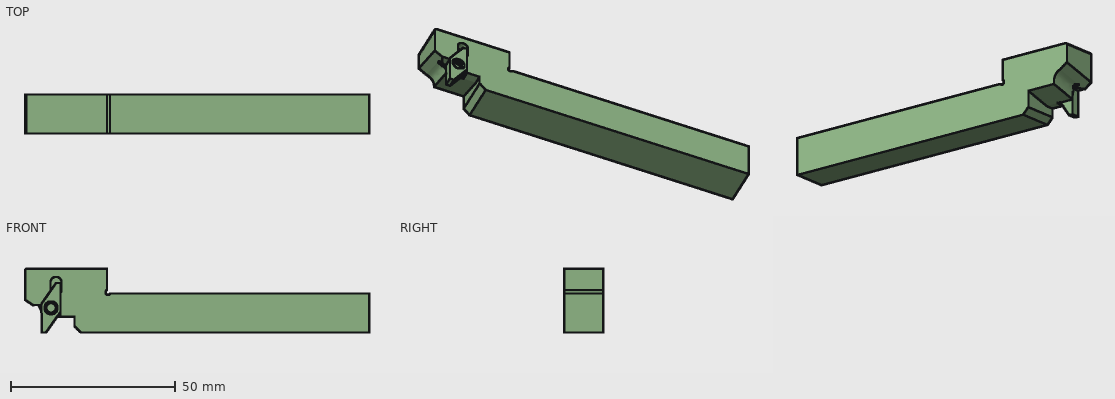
import cadquery as cq
import math

LENGTH = 105.0
THICKNESS = 12.0
HEAD_HEIGHT = 19.5
HEAD_LENGTH = 25.0
SHANK_HEIGHT = THICKNESS
NOSE_CHAMFER = 0.4
CORNER_RELIEF_RADIUS = 0.7
CORNER_RELIEF_OFFSET = 0.3

CLEARANCE_ANGLE = 15.0
NOSE_EDGE_Z = 10.0
LEDGE_X = 2.6
LEDGE_Z = 8.4
COVE_RADIUS = 3.5
NOTCH_Z = 4.8
NOTCH_WALL_X = 15.0
SHANK_CHAMFER = 2.0

INSERT_LEFT = 5.0
INSERT_RIGHT = 10.8
INSERT_HEIGHT = 15.1
INSERT_THICKNESS = 2.8
CUTTING_EDGE = 1.4
FLANK_HEIGHT = 6.3
HOLE_RADIUS = 1.5
SINK_RADIUS = 2.0
SINK_DEPTH = 0.5
HOLE_DEPTH = 1.6

TIP_RECESS_X = 9.5
TIP_RECESS_RADIUS = 1.7
TIP_RECESS_TOP_Z = 15.3
TIP_RECESS_BOTTOM_Z = 13.1

SEAT_ROUND_RADIUS = 0.8

RISE = math.tan(math.radians(CLEARANCE_ANGLE))


def front_sketch():
    """Sketch plane on the front face, with its normal toward the back (+Y) and Z up."""
    return cq.Workplane(cq.Plane(origin=(0, 0, 0), xDir=(-1, 0, 0), normal=(0, 1, 0)))


def front_point(x, z):
    return (-x, z)


def front_prism(points, depth):
    """Prism with the given XZ corners, from the front face back to the given depth."""
    return front_sketch().polyline([front_point(x, z) for x, z in points]).close().extrude(depth)


def front_box(x_min, x_max, z_min, z_max, depth):
    corners = [(x_min, z_min), (x_max, z_min), (x_max, z_max), (x_min, z_max)]
    return front_prism(corners, depth)


def front_cylinder(x, z, radius, depth):
    return front_sketch().center(*front_point(x, z)).circle(radius).extrude(depth)


def make_blank():
    """Head and shank with the nose chamfer and the relief groove behind the head."""
    outline = [
        (0, 0),
        (LENGTH, 0),
        (LENGTH, SHANK_HEIGHT),
        (HEAD_LENGTH, SHANK_HEIGHT),
        (HEAD_LENGTH, HEAD_HEIGHT),
        (NOSE_CHAMFER, HEAD_HEIGHT),
        (0, HEAD_HEIGHT - NOSE_CHAMFER),
    ]
    groove = front_cylinder(
        HEAD_LENGTH + CORNER_RELIEF_OFFSET,
        SHANK_HEIGHT + CORNER_RELIEF_OFFSET,
        CORNER_RELIEF_RADIUS,
        THICKNESS,
    )
    return front_prism(outline, THICKNESS).cut(groove)


def make_clearance():
    """Space under the head, swept backward and upward at the clearance angle."""
    floor_z = NOTCH_Z - INSERT_THICKNESS * RISE
    cove_x = INSERT_LEFT - COVE_RADIUS
    cove_z = LEDGE_Z - COVE_RADIUS
    below = -HEAD_HEIGHT
    outside = -LEDGE_X
    start_z = cove_z + math.sqrt(COVE_RADIUS**2 - (LEDGE_X - cove_x) ** 2)
    middle = math.atan2(start_z - cove_z, LEDGE_X - cove_x) / 2
    slope = (NOSE_EDGE_Z - start_z) / LEDGE_X
    profile = (
        cq.Workplane("XZ")
        .moveTo(outside, NOSE_EDGE_Z - slope * outside)
        .lineTo(LEDGE_X, start_z)
        .threePointArc(
            (cove_x + COVE_RADIUS * math.cos(middle), cove_z + COVE_RADIUS * math.sin(middle)),
            (INSERT_LEFT, cove_z),
        )
        .lineTo(INSERT_LEFT, floor_z)
        .lineTo(NOTCH_WALL_X, floor_z)
        .lineTo(NOTCH_WALL_X, below)
        .lineTo(outside, below)
        .close()
        .val()
    )
    sweep = cq.Vector(0, THICKNESS, THICKNESS * RISE)
    return cq.Workplane(cq.Solid.extrudeLinear(profile, [], sweep))


def make_front_clearance():
    """Level space in front of the seat: left of the insert and under the notch."""
    ledge = front_box(LEDGE_X, INSERT_LEFT, 0, LEDGE_Z, INSERT_THICKNESS)
    notch = front_box(INSERT_LEFT, NOTCH_WALL_X, 0, NOTCH_Z, INSERT_THICKNESS)
    return ledge.union(notch)


def make_seat_round():
    """Material outside the vertical round on the front left edge of the seat."""
    r = SEAT_ROUND_RADIUS
    top_z = LEDGE_Z + INSERT_THICKNESS * RISE
    corner = cq.Workplane("XY").box(INSERT_LEFT - LEDGE_X, r, top_z, centered=False)
    corner = corner.translate((LEDGE_X, INSERT_THICKNESS, 0))
    post = cq.Workplane("XY").center(INSERT_LEFT, INSERT_THICKNESS + r).circle(r).extrude(top_z)
    return corner.cut(post)


def make_shank_chamfer():
    c = SHANK_CHAMFER
    return front_prism([(NOTCH_WALL_X, 0), (NOTCH_WALL_X + c, 0), (NOTCH_WALL_X, c)], THICKNESS)


def make_insert_blank():
    outline = [
        (INSERT_LEFT, 0),
        (INSERT_LEFT + CUTTING_EDGE, 0),
        (INSERT_RIGHT, FLANK_HEIGHT),
        (INSERT_RIGHT, INSERT_HEIGHT),
        (INSERT_RIGHT - CUTTING_EDGE, INSERT_HEIGHT),
        (INSERT_LEFT, INSERT_HEIGHT - FLANK_HEIGHT),
    ]
    return front_prism(outline, INSERT_THICKNESS)


def make_insert():
    x = (INSERT_LEFT + INSERT_RIGHT) / 2
    z = INSERT_HEIGHT / 2
    hole = front_cylinder(x, z, HOLE_RADIUS, HOLE_DEPTH)
    sink = cq.Solid.makeCone(
        SINK_RADIUS, HOLE_RADIUS, SINK_DEPTH, pnt=cq.Vector(x, 0, z), dir=cq.Vector(0, 1, 0)
    )
    return make_insert_blank().cut(hole).cut(sink)


def make_pocket():
    """Insert pocket, open at the bottom, with the recess around the tip of the insert."""
    right_side = front_box(
        (INSERT_LEFT + INSERT_RIGHT) / 2, INSERT_RIGHT, 0, FLANK_HEIGHT, INSERT_THICKNESS
    )
    x, r = TIP_RECESS_X, TIP_RECESS_RADIUS
    recess = front_box(x - r, x + r, TIP_RECESS_BOTTOM_Z, TIP_RECESS_TOP_Z, INSERT_THICKNESS)
    for z in (TIP_RECESS_BOTTOM_Z, TIP_RECESS_TOP_Z):
        recess = recess.union(front_cylinder(x, z, r, INSERT_THICKNESS))
    return make_insert_blank().union(right_side).union(recess)


def make_holder():
    holder = make_blank()
    for space in (
        make_clearance(),
        make_front_clearance(),
        make_seat_round(),
        make_shank_chamfer(),
        make_pocket(),
    ):
        holder = holder.cut(space)
    return holder


holder = make_holder()
insert = make_insert()

result = cq.Compound.makeCompound([holder.solids().val(), insert.solids().val()])